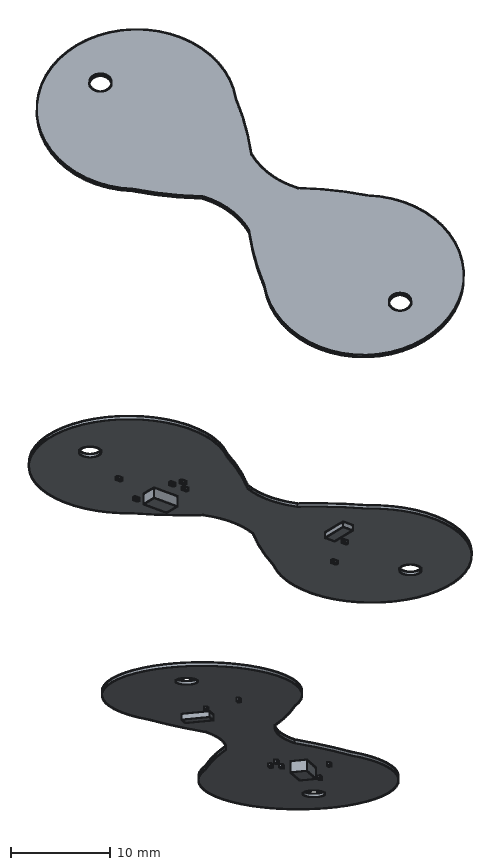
import cadquery as cq
import math

board_length = 51.1
board_width = 20.15
board_thickness = 0.4
lobe_radius = board_width / 2
lobe_x = board_length / 2 - lobe_radius

flank_start_x = 9.0
flank_start_y = math.sqrt(lobe_radius**2 - (lobe_x - flank_start_x) ** 2)
flank_start = (flank_start_x, flank_start_y)
flank_middle = (6.15, 5.95)
waist_corner = (3.15, 3.65)
waist_half_width = 3.0

hole_diameter = 2.25
hole_x = 20.45

underside_z = -board_thickness

chip_length_x = 1.25
chip_length_y = 2.95
chip_height = 0.6
chip_centre = (-9.35, 2.5)

connector_length_x = 2.95
connector_length_y = 1.75
connector_gap = 0.285
connector_height = 1.2
connector_centre = (9.55, -2.45)

passive_length_x = 0.6
passive_length_y = 0.3
passive_height = 0.3
passive_centres = [
    (-13.2, -3.1),
    (-11.35, 0.9),
    (8.3, -0.05),
    (9.3, 0.9),
    (9.9, -0.05),
    (10.8, -4.8),
    (14.8, -2.45),
]


def mirror_x(point):
    return (-point[0], point[1])


def mirror_y(point):
    return (point[0], -point[1])


def rotate_half_turn(point):
    return (-point[0], -point[1])


def hanging_block(size_x, size_y, height, centre, top_z):
    """Rectangular block whose top face lies at top_z."""
    return (
        cq.Workplane("XY")
        .box(size_x, size_y, height, centered=(True, True, False))
        .translate((centre[0], centre[1], top_z - height))
    )


def make_board():
    """Twin-lobed plate with a hole near each end."""
    end_x = board_length / 2
    outline = (
        cq.Workplane("XY", origin=(0, 0, underside_z))
        .moveTo(*flank_start)
        .threePointArc((end_x, 0), mirror_y(flank_start))
        .threePointArc(mirror_y(flank_middle), mirror_y(waist_corner))
        .threePointArc((0, -waist_half_width), rotate_half_turn(waist_corner))
        .threePointArc(rotate_half_turn(flank_middle), rotate_half_turn(flank_start))
        .threePointArc((-end_x, 0), mirror_x(flank_start))
        .threePointArc(mirror_x(flank_middle), mirror_x(waist_corner))
        .threePointArc((0, waist_half_width), waist_corner)
        .threePointArc(flank_middle, flank_start)
        .close()
    )
    holes = (
        cq.Workplane("XY", origin=(0, 0, underside_z))
        .pushPoints([(-hole_x, 0), (hole_x, 0)])
        .circle(hole_diameter / 2)
        .extrude(board_thickness)
    )
    return outline.extrude(board_thickness).cut(holes)


def make_chip():
    """Flat chip lying against the underside of the board."""
    return hanging_block(chip_length_x, chip_length_y, chip_height, chip_centre, underside_z)


def make_connector():
    """Tall block held just clear of the board."""
    top_z = underside_z - connector_gap
    return hanging_block(
        connector_length_x, connector_length_y, connector_height, connector_centre, top_z
    )


def make_passive(centre):
    """Tiny two-terminal component lying against the underside of the board."""
    return hanging_block(passive_length_x, passive_length_y, passive_height, centre, underside_z)


board = make_board()
chip = make_chip()
connector = make_connector()
passives = [make_passive(centre).val() for centre in passive_centres]

result = cq.Compound.makeCompound([board.val(), chip.val(), connector.val(), *passives])